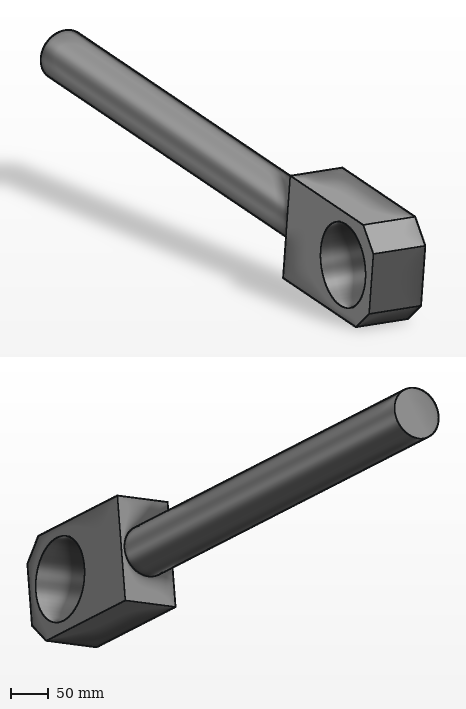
import cadquery as cq

TILT_ANGLE = 7.377
ROD_DIAMETER = 70.0
ROD_LENGTH = 640.0
EYE_HEIGHT = 145.0
EYE_THICKNESS = 80.0
EYE_CHAMFER = 30.0
BORE_DIAMETER = 115.0
BORE_TO_SHOULDER = 145.0

EYE_END_X = EYE_HEIGHT / 2
EYE_SHOULDER_X = -BORE_TO_SHOULDER
EYE_LENGTH = EYE_END_X - EYE_SHOULDER_X
ROD_END_X = EYE_SHOULDER_X - ROD_LENGTH


def make_eye_block():
    """Rectangular block with two chamfered end corners and a cross bore."""
    block = (
        cq.Workplane("XY")
        .box(EYE_LENGTH, EYE_THICKNESS, EYE_HEIGHT)
        .edges("|Y and >X")
        .chamfer(EYE_CHAMFER)
        .translate((EYE_SHOULDER_X + EYE_LENGTH / 2, 0, 0))
    )
    bore = (
        cq.Workplane("XZ", origin=(0, EYE_THICKNESS / 2, 0))
        .circle(BORE_DIAMETER / 2)
        .extrude(EYE_THICKNESS)
    )
    return block.cut(bore)


def make_rod():
    """Plain round rod ending on the shoulder face of the eye block."""
    return (
        cq.Workplane("YZ", origin=(ROD_END_X, 0, 0))
        .circle(ROD_DIAMETER / 2)
        .extrude(ROD_LENGTH)
    )


result = make_eye_block().union(make_rod()).rotate((0, 0, 0), (0, 1, 0), TILT_ANGLE)